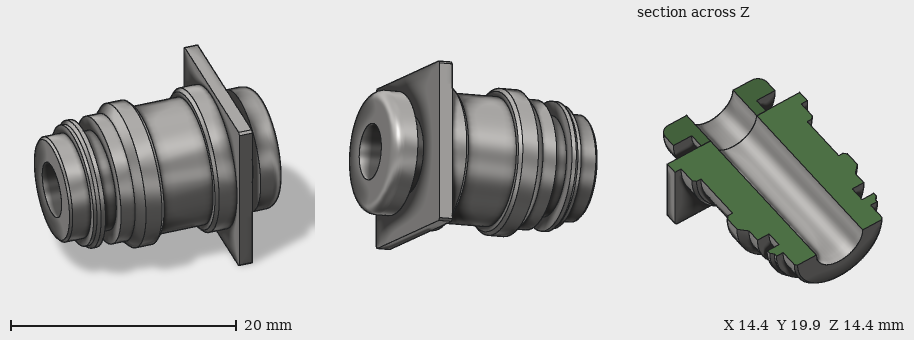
import cadquery as cq

total_length = 19.88
bore_radius = 2.5

plate_side = 14.4
plate_front = 15.05
plate_thickness = 1.21
plate_corner_chamfer = 0.22
plate_back = plate_front + plate_thickness

barrel_radius = 5.79
collar_radius = 6.55
groove_radius = 4.53
lip_radius = 5.49
nose_radius = 4.77

nose_end = 1.93
lip_end = 2.25
snap_ring_front = 2.52
groove_front = 2.95
groove_back = 4.41
cone_front = 5.73
cone_back = 6.48
front_collar_back = 8.29
rear_collar_front = 13.08

collar_chamfer = 0.3
nose_chamfer = 0.22

button_radius = 5.53
button_front = 17.65
button_edge_radius = 1.0
neck_radius = 3.54


def revolve_about_y(profile):
    return profile.close().revolve(360, (0, 0, 0), (0, 1, 0))


def make_barrel():
    """Stepped tube from the nose back to the mounting plate."""
    profile = (
        cq.Workplane("XY")
        .moveTo(bore_radius, 0)
        .lineTo(nose_radius - nose_chamfer, 0)
        .lineTo(nose_radius, nose_chamfer)
        .lineTo(nose_radius, nose_end)
        .lineTo(lip_radius, nose_end)
        .lineTo(lip_radius, lip_end)
        .lineTo(barrel_radius, snap_ring_front)
        .lineTo(barrel_radius, groove_front)
        .lineTo(groove_radius, groove_front)
        .lineTo(groove_radius, groove_back)
        .lineTo(barrel_radius, groove_back)
        .lineTo(barrel_radius, cone_front)
        .lineTo(collar_radius, cone_back)
        .lineTo(collar_radius, front_collar_back - collar_chamfer)
        .lineTo(collar_radius - collar_chamfer, front_collar_back)
        .lineTo(barrel_radius, front_collar_back)
        .lineTo(barrel_radius, rear_collar_front)
        .lineTo(collar_radius - collar_chamfer, rear_collar_front)
        .lineTo(collar_radius, rear_collar_front + collar_chamfer)
        .lineTo(collar_radius, plate_front)
        .lineTo(bore_radius, plate_front)
    )
    return revolve_about_y(profile)


def make_plate():
    """Square plate with chamfered corners and the bore through it."""
    return (
        cq.Workplane("XZ", origin=(0, plate_back, 0))
        .rect(plate_side, plate_side)
        .extrude(plate_thickness)
        .edges("|Y")
        .chamfer(plate_corner_chamfer)
        .faces(">Y")
        .workplane()
        .circle(bore_radius)
        .cutThruAll()
    )


def make_housing():
    return make_barrel().union(make_plate())


def make_button():
    """Rounded button whose neck rests on the back of the plate."""
    profile = (
        cq.Workplane("XY")
        .moveTo(bore_radius, plate_back)
        .lineTo(neck_radius, plate_back)
        .lineTo(neck_radius, button_front)
        .lineTo(button_radius, button_front)
        .lineTo(button_radius, total_length - button_edge_radius)
        .radiusArc((button_radius - button_edge_radius, total_length), -button_edge_radius)
        .lineTo(bore_radius, total_length)
    )
    return revolve_about_y(profile)


housing = make_housing()
button = make_button()

result = cq.Compound.makeCompound([housing.val(), button.val()])